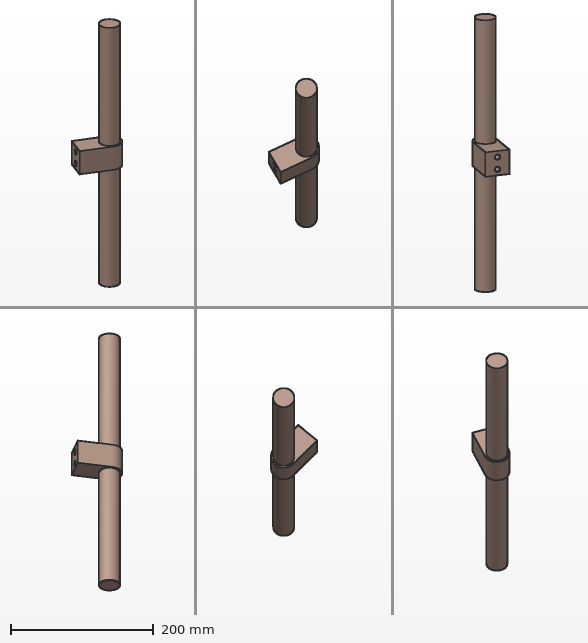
import cadquery as cq
import math

rod_length = 400.0
rod_diameter = 30.0
rod_bottom_chamfer = 0.5

block_width = 36.0
block_height = 36.0
block_total_depth = 68.0
back_radius = block_width / 2
front_y = back_radius - block_total_depth

hole_diameter = 7.0
hole_spacing = 18.0
mouth_diameter = 8.0
hole_depth = 20.0
drill_point_angle = 118.0


def make_rod():
    """Solid round rod with its lower rim slightly broken."""
    rod = cq.Workplane("XY").circle(rod_diameter / 2).extrude(rod_length / 2, both=True)
    return rod.faces("<Z").chamfer(rod_bottom_chamfer)


def make_block():
    """Straight-sided block with a round back concentric with the rod."""
    return (
        cq.Workplane("XY")
        .moveTo(-back_radius, front_y)
        .lineTo(back_radius, front_y)
        .lineTo(back_radius, 0)
        .threePointArc((0, back_radius), (-back_radius, 0))
        .close()
        .extrude(block_height / 2, both=True)
    )


def make_hole_cutter(height):
    """Chamfered screw hole with a drill-point bottom, revolved about its axis."""
    radius = hole_diameter / 2
    mouth_radius = mouth_diameter / 2
    chamfer = mouth_radius - radius
    point_length = radius / math.tan(math.radians(drill_point_angle / 2))
    return (
        cq.Workplane("XY", origin=(0, front_y, height))
        .lineTo(mouth_radius, 0)
        .lineTo(radius, chamfer)
        .lineTo(radius, hole_depth)
        .lineTo(0, hole_depth + point_length)
        .close()
        .revolve(360, (0, 0), (0, 1))
    )


result = make_rod().union(make_block())
for side in (-1, 1):
    result = result.cut(make_hole_cutter(side * hole_spacing / 2))